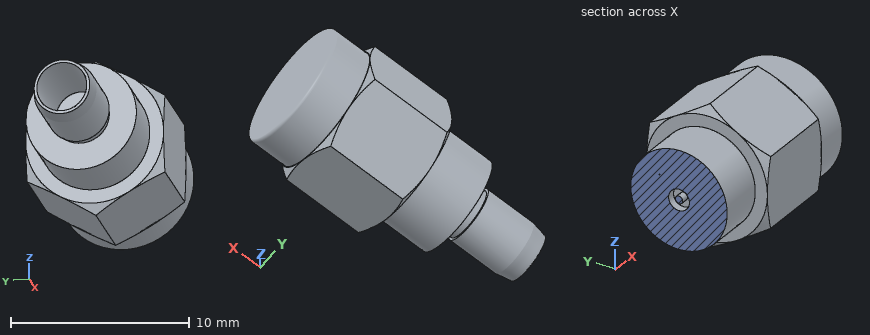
import cadquery as cq
import math

overall_length = 17.03
tip_taper_end = 0.99
ferrule_end = 4.27
collar_start = 5.1
nut_start = 8.63
nut_end = 14.53

tip_radius = 1.6
ferrule_radius = 1.79
neck_radius = 1.62
collar_radius = 3.17
sleeve_radius = 3.92
sleeve_edge_round = 0.2

nut_across_flats = 7.92
nut_flat_radius = nut_across_flats / 2
nut_corner_radius = nut_flat_radius / math.cos(math.radians(30))
nut_bevel_angle = 30.0
nut_bevel_length = (nut_corner_radius - nut_flat_radius) * math.tan(math.radians(nut_bevel_angle))

bore_radius = 1.43
bore_depth = collar_start
recess_radius = 0.66
recess_depth = 1.02
pin_radius = 0.25
pin_tip_radius = 0.07
pin_taper_length = pin_radius - pin_tip_radius


def revolve_about_x(profile):
    """Revolve an (axial position, radius) outline around the X axis."""
    outline = cq.Workplane("XY").polyline(profile).close()
    return outline.revolve(360, (0, 0, 0), (1, 0, 0))


def cylinder(start, end, radius):
    """Solid cylinder on the X axis between two axial positions."""
    return cq.Workplane("YZ").workplane(offset=start).circle(radius).extrude(end - start)


def make_ferrule():
    return revolve_about_x([
        (0, 0),
        (0, tip_radius),
        (tip_taper_end, ferrule_radius),
        (ferrule_end, ferrule_radius),
        (ferrule_end, neck_radius),
        (collar_start, neck_radius),
        (collar_start, 0),
    ])


def make_nut():
    hexagon = (
        cq.Workplane("YZ")
        .workplane(offset=nut_start)
        .transformed(rotate=(0, 0, 90))
        .polygon(6, 2 * nut_corner_radius)
        .extrude(nut_end - nut_start)
    )
    bevel_envelope = revolve_about_x([
        (nut_start, 0),
        (nut_start, nut_flat_radius),
        (nut_start + nut_bevel_length, nut_corner_radius),
        (nut_end - nut_bevel_length, nut_corner_radius),
        (nut_end, nut_flat_radius),
        (nut_end, 0),
    ])
    return hexagon.intersect(bevel_envelope)


def make_sleeve():
    sleeve = cylinder(nut_end, overall_length, sleeve_radius)
    return sleeve.faces(">X").edges().fillet(sleeve_edge_round)


def make_pin():
    return revolve_about_x([
        (bore_depth, 0),
        (bore_depth, pin_tip_radius),
        (bore_depth + pin_taper_length, pin_radius),
        (bore_depth + recess_depth, pin_radius),
        (bore_depth + recess_depth, 0),
    ])


collar = cylinder(collar_start, nut_start, collar_radius)
body = make_ferrule().union(collar).union(make_nut()).union(make_sleeve())

bore = cylinder(0, bore_depth, bore_radius)
recess = cylinder(bore_depth, bore_depth + recess_depth, recess_radius)

result = body.cut(bore).cut(recess).union(make_pin())